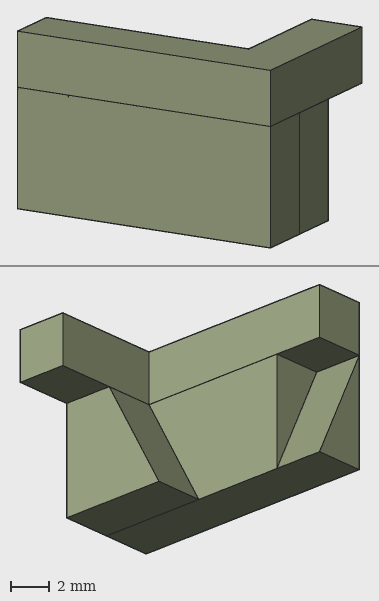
import cadquery as cq

length = 15.0
depth = 9.5
height = 9.5
thickness = 3.0
buttress_foot = 6.5

wall_height = height - thickness
arm_x = length - thickness
buttress_x = length - buttress_foot
notch_length = thickness


def make_cap():
    """L-shaped cap lying on top of the wall and the buttress."""
    return (
        cq.Workplane("XY", origin=(0, 0, wall_height))
        .polyline([
            (0, 0),
            (length, 0),
            (length, depth),
            (arm_x, depth),
            (arm_x, thickness),
            (0, thickness),
        ])
        .close()
        .extrude(thickness)
    )


def make_wall():
    """Upright wall under the long arm, its free end cut to a sloping wedge."""
    wall = cq.Workplane("XY").box(length, thickness, wall_height, centered=False)
    notch = (
        cq.Workplane("YZ")
        .polyline([(thickness, 0), (thickness, wall_height), (0, wall_height)])
        .close()
        .extrude(notch_length)
    )
    return wall.cut(notch)


def make_buttress():
    """Block behind the wall and under the short arm, with a sloping -X face."""
    return (
        cq.Workplane("XZ", origin=(0, 2 * thickness, 0))
        .polyline([
            (buttress_x, 0),
            (length, 0),
            (length, wall_height),
            (arm_x, wall_height),
        ])
        .close()
        .extrude(thickness)
    )


cap = make_cap()
wall = make_wall()
buttress = make_buttress()

result = cq.Compound.makeCompound([cap.val(), wall.val(), buttress.val()])